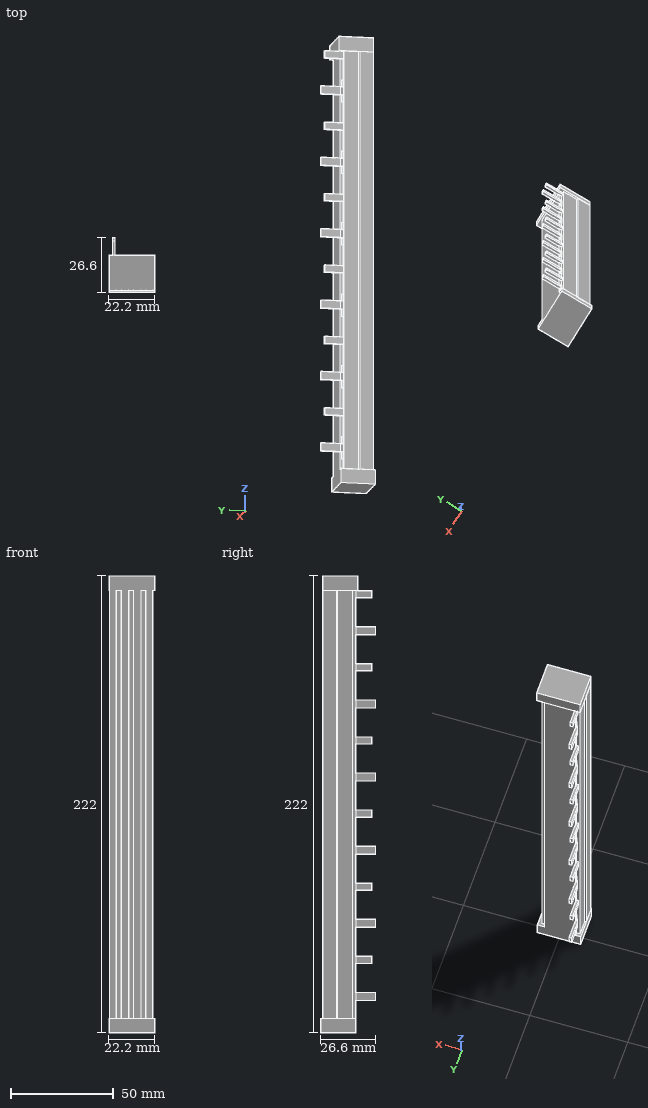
import cadquery as cq
import math

height = 222.0
cap_width = 22.2
cap_depth = 17.0
cap_height = 7.0
top_cap_front = 0.98

body_center_x = -0.49
body_width = 21.0
body_front = top_cap_front
body_back = 15.5
side_step_y = 7.8
side_step = 0.7
side_ramp = 0.5
side_flare = 1.0

slot_count = 3
slot_pitch = 6.0
slot_mouth = 2.5
slot_depth = 13.3
slot_draft = 0.5

strip_back = cap_depth
strip_width = 16.0
shoulder_length = 11.0
shoulder_back = 16.5
shoulder_rise = 0.2

pin_pairs = 6
pin_pitch = 35.5
lowest_pin_z = 17.8
pin_thickness = 1.3
pin_side_x = -9.5
pin_embed = 1.0
pin_root = body_back - pin_embed
long_pin_tip = 26.6
long_pin_height = 4.0
long_pin_bend = 23.0
short_pin_tip = 24.9
short_pin_height = 3.5

body_bottom = cap_height
body_height = height - 2 * cap_height
strip_side_x = body_center_x - strip_width / 2


def block(x_min, x_max, y_min, y_max, z_min, z_max):
    size = (x_max - x_min, y_max - y_min, z_max - z_min)
    return cq.Workplane("XY").box(*size, centered=False).translate((x_min, y_min, z_min))


def end_cap(front, bottom):
    half = cap_width / 2
    return block(-half, half, front, front + cap_depth, bottom, bottom + cap_height)


def finned_body():
    half_front = body_width / 2
    half_middle = half_front - (side_step_y - body_front) * math.tan(math.radians(side_flare))
    half_back = half_middle - side_step
    right_side = [
        (half_front, body_front),
        (half_middle, side_step_y),
        (half_back, side_step_y + side_ramp),
        (half_back, body_back),
    ]
    left_side = [(-x, y) for x, y in reversed(right_side)]
    return (
        cq.Workplane("XY", origin=(body_center_x, 0, body_bottom))
        .polyline(right_side + left_side)
        .close()
        .extrude(body_height)
    )


def front_slot(center_x):
    half_mouth = slot_mouth / 2
    half_floor = half_mouth - slot_depth * math.tan(math.radians(slot_draft))
    floor_y = body_front + slot_depth
    outline = [
        (-half_mouth, body_front),
        (half_mouth, body_front),
        (half_floor, floor_y),
        (-half_floor, floor_y),
    ]
    return (
        cq.Workplane("XY", origin=(center_x, 0, body_bottom))
        .polyline(outline)
        .close()
        .extrude(body_height)
    )


def back_strip():
    return block(
        strip_side_x,
        strip_side_x + strip_width,
        pin_root,
        strip_back,
        body_bottom,
        body_bottom + body_height,
    )


def shoulder(center_z):
    half = shoulder_length / 2
    side_x = strip_side_x - shoulder_rise
    return block(
        side_x,
        strip_side_x + pin_thickness,
        pin_root,
        shoulder_back,
        center_z - half,
        center_z + half,
    )


def short_pin(center_z):
    half = short_pin_height / 2
    return block(
        pin_side_x,
        pin_side_x + pin_thickness,
        pin_root,
        short_pin_tip,
        center_z - half,
        center_z + half,
    )


def long_pin(center_z):
    lean = (strip_back - pin_root) * math.tan(math.radians(long_pin_bend))
    near_side = [(pin_side_x + lean, pin_root), (pin_side_x, strip_back), (pin_side_x, long_pin_tip)]
    far_side = [(x + pin_thickness, y) for x, y in reversed(near_side)]
    return (
        cq.Workplane("XY", origin=(0, 0, center_z - long_pin_height / 2))
        .polyline(near_side + far_side)
        .close()
        .extrude(long_pin_height)
    )


body = finned_body()
for i in range(slot_count):
    offset = (i - (slot_count - 1) / 2) * slot_pitch
    body = body.cut(front_slot(body_center_x + offset))

result = body.union(back_strip())
result = result.union(end_cap(0, 0))
result = result.union(end_cap(top_cap_front, height - cap_height))
for i in range(pin_pairs):
    long_z = lowest_pin_z + i * pin_pitch
    result = result.union(shoulder(long_z))
    result = result.union(long_pin(long_z))
    result = result.union(short_pin(long_z + pin_pitch / 2))